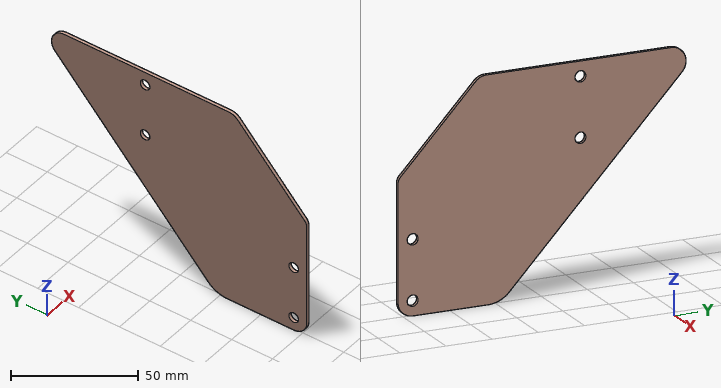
import cadquery as cq

thickness = 1.59
height = 95.26
bottom_length = 44.5
front_edge_height = 57.1
upper_slope_run = 35.5
tip_reach = 133.07

corner_radius = 6.35
front_top_radius = 4.1
heel_radius = 12.7

hole_diameter = 4.65
hole_inset = 6.35
hole_spacing = 25.4
rear_pair_y = 79.07

toe = (0, 0)
front_top = (0, front_edge_height)
top_front = (upper_slope_run, height)
tip = (tip_reach, height)
heel = (bottom_length, 0)


def round_corner(plate, corner, radius):
    """Round the through-thickness edge that stands at one outline corner."""
    point = (thickness / 2, *corner)
    edge = cq.selectors.NearestToPointSelector(point)
    return plate.edges("|X").edges(edge).fillet(radius)


def make_plate():
    """Flat five-sided plate in the YZ plane with every corner rounded."""
    outline = [toe, front_top, top_front, tip, heel]
    plate = cq.Workplane("YZ").polyline(outline).close().extrude(thickness)
    for corner in (toe, top_front, tip):
        plate = round_corner(plate, corner, corner_radius)
    plate = round_corner(plate, front_top, front_top_radius)
    return round_corner(plate, heel, heel_radius)


def drill_holes(plate):
    """Drill the front pair low on the plate and the rear pair high on it."""
    front_low_z = hole_inset
    rear_high_z = height - hole_inset
    centres = [
        (hole_inset, front_low_z),
        (hole_inset, front_low_z + hole_spacing),
        (rear_pair_y, rear_high_z - hole_spacing),
        (rear_pair_y, rear_high_z),
    ]
    drills = cq.Workplane("YZ").pushPoints(centres).circle(hole_diameter / 2).extrude(thickness)
    return plate.cut(drills)


result = drill_holes(make_plate())